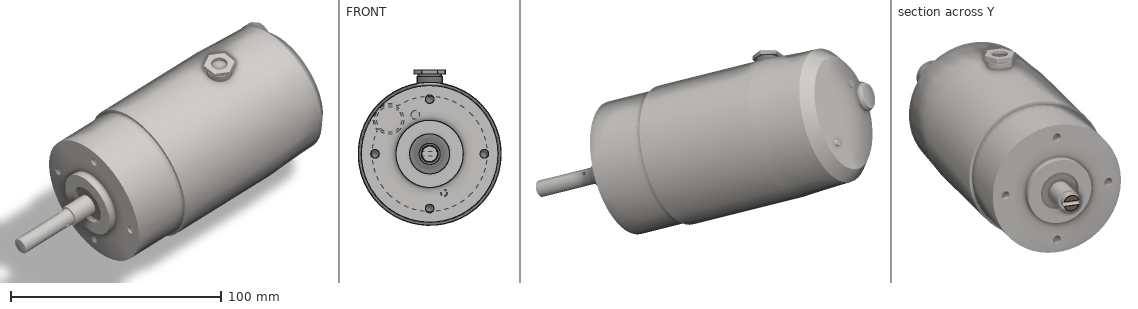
import cadquery as cq
import math


shaft_step_y = 30.8
pilot_face_y = 42.5
front_face_y = 46.5
barrel_front_y = 74.8
cap_seam_y = 134.8
bevel_start_y = 162.0
rear_face_y = 167.3
plug_end_y = 170.0

barrel_radius = 68.0 / 2
front_radius = 65.0 / 2
cap_rear_radius = 32.6
cap_bevel = rear_face_y - bevel_start_y
pilot_radius = 32.0 / 2
recess_radius = 19.0 / 2
recess_depth = 2.5
recess_floor_y = pilot_face_y + recess_depth

mount_hole_count = 4
mount_hole_radius = 4.0 / 2
mount_circle_radius = 26.0
mount_hole_depth = 6.8
drill_point_angle = 118.0

fitting_y = 125.8
fitting_top_z = 74.0 - barrel_radius
nut_across_flats = 13.0
nut_thickness = 2.0
collar_radius = 12.0 / 2
neck_radius = 11.2 / 2
neck_height = 1.0
fitting_bore_radius = 8.0 / 2
fitting_root_depth = 3.4

plug_x = -19.2
plug_z = 16.3
plug_radius = 14.0 / 2
plug_chamfer_width = (14.0 - 12.0) / 2
plug_chamfer_height = 1.5
plug_base_radius = 15.3 / 2
plug_base_y = 162.7
stud_x = 6.8
stud_z = 18.5
stud_root_radius = 3.4 / 2
stud_tip_radius = 2.5 / 2
stud_height = 1.2
button_radius = 4.0 / 2
button_height = 0.5

journal_radius = 10.0 / 2
output_radius = 8.0 / 2
shaft_chamfer = (8.0 - 7.5) / 2
pin_hole_radius = 2.0 / 2
pin_hole_y = 26.5
shaft_end_y = pilot_face_y + 0.5


def rear_disc(x, z, radius, start_y, end_y):
    """Cylinder parallel to the motor axis between two stations."""
    return cq.Workplane(cq.Solid.makeCylinder(
        radius, end_y - start_y, cq.Vector(x, start_y, z), cq.Vector(0, 1, 0)))


def revolve_about_axis(profile):
    """Revolve a half profile of (radius, station) points about the Y axis."""
    return cq.Workplane("XY").polyline(profile).close().revolve(360, (0, 0, 0), (0, 1, 0))


def make_shell():
    return revolve_about_axis([
        (0, recess_floor_y),
        (recess_radius, recess_floor_y),
        (recess_radius, pilot_face_y),
        (pilot_radius, pilot_face_y),
        (pilot_radius, front_face_y),
        (front_radius, front_face_y),
        (front_radius, barrel_front_y),
        (barrel_radius, barrel_front_y),
        (barrel_radius, cap_seam_y),
        (cap_rear_radius, bevel_start_y),
        (cap_rear_radius - cap_bevel, rear_face_y),
        (0, rear_face_y),
    ])


def make_mount_hole(angle):
    """Blind drilled hole with a conical bottom."""
    point_length = mount_hole_radius / math.tan(math.radians(drill_point_angle / 2))
    full_depth_y = front_face_y + mount_hole_depth
    hole = revolve_about_axis([
        (0, front_face_y),
        (mount_hole_radius, front_face_y),
        (mount_hole_radius, full_depth_y),
        (0, full_depth_y + point_length),
    ])
    return hole.translate((mount_circle_radius, 0, 0)).rotate((0, 0, 0), (0, 1, 0), angle)


def make_fitting():
    """Collar, neck and hexagonal nut standing on the barrel, with a blind bore."""
    nut_bottom_z = fitting_top_z - nut_thickness
    collar_top_z = nut_bottom_z - neck_height
    root_z = barrel_radius - fitting_root_depth
    nut_across_corners = nut_across_flats / math.cos(math.pi / 6)
    collar = cq.Workplane("XY").workplane(offset=root_z).circle(collar_radius).extrude(collar_top_z - root_z)
    neck = cq.Workplane("XY").workplane(offset=collar_top_z).circle(neck_radius).extrude(neck_height)
    nut = (
        cq.Workplane("XY").workplane(offset=nut_bottom_z)
        .polygon(6, nut_across_corners)
        .circle(fitting_bore_radius)
        .extrude(nut_thickness)
    )
    return collar.union(neck).union(nut).translate((0, fitting_y, 0))


def make_plug():
    """Chamfered round plug on a wider base let into the rear bevel."""
    base = rear_disc(plug_x, plug_z, plug_base_radius, plug_base_y, rear_face_y)
    plug = rear_disc(plug_x, plug_z, plug_radius, plug_base_y, plug_end_y)
    plug = plug.faces(">Y").chamfer(plug_chamfer_height, plug_chamfer_width)
    return base.union(plug)


def make_stud():
    """Tapered stud end on the rear face."""
    return cq.Workplane(cq.Solid.makeCone(
        stud_root_radius, stud_tip_radius, stud_height,
        cq.Vector(stud_x, rear_face_y, -stud_z), cq.Vector(0, 1, 0)))


def make_button():
    """Low round button on the rear face, diagonally opposite the stud."""
    return rear_disc(-stud_x, stud_z, button_radius, rear_face_y, rear_face_y + button_height)


def make_housing():
    body = make_shell().union(make_fitting()).union(make_plug()).union(make_stud()).union(make_button())
    for index in range(mount_hole_count):
        body = body.cut(make_mount_hole(index * 360 / mount_hole_count))
    return body


def make_shaft():
    """Stepped shaft with a cross hole, ending inside the recess clear of its floor."""
    body = revolve_about_axis([
        (0, 0),
        (output_radius - shaft_chamfer, 0),
        (output_radius, shaft_chamfer),
        (output_radius, shaft_step_y),
        (journal_radius, shaft_step_y),
        (journal_radius, shaft_end_y),
        (0, shaft_end_y),
    ])
    pin_hole = (
        cq.Workplane("YZ").center(pin_hole_y, 0)
        .circle(pin_hole_radius)
        .extrude(journal_radius, both=True)
    )
    return body.cut(pin_hole)


housing = make_housing()
shaft = make_shaft()
result = cq.Compound.makeCompound([housing.val(), shaft.val()])